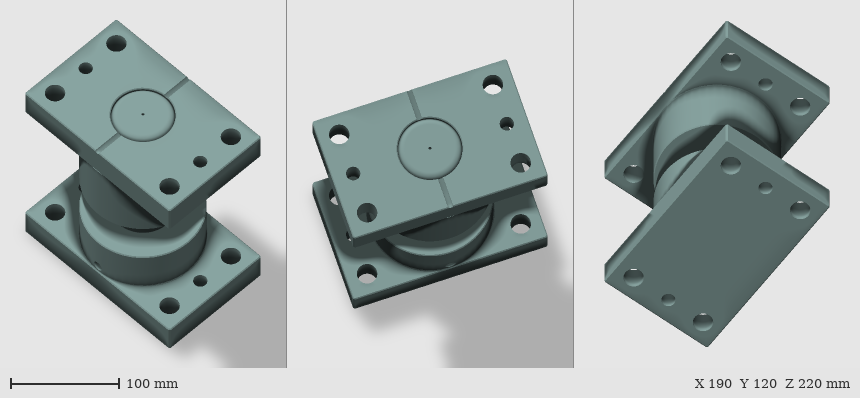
import cadquery as cq

TOTAL_HEIGHT = 220.0
EDGE_BREAK = 1.0
PLATE_LENGTH = 190.0
PLATE_WIDTH = 120.0
PLATE_THICKNESS = 30.0
PLATE_CORNER_CHAMFER = 1.5

PIN_DIAMETER = 60.0
PIN_RADIUS = PIN_DIAMETER / 2
PIN_TOP_FILLET = 6.4
PIN_PROTRUSION = 1.0
PIN_CENTRE_DIAMETER = 2.6
PIN_CENTRE_DEPTH = 4.5

COLLAR_DIAMETER = 118.0
COLLAR_RADIUS = COLLAR_DIAMETER / 2
LOWER_COLLAR_HEIGHT = 45.0
UPPER_COLLAR_HEIGHT = 70.0

SCREW_DIAMETER = 19.0
DOWEL_DIAMETER = 13.2
HOLE_SPACING_X = 150.0
SCREW_SPACING_Y = 80.0

GROOVE_RADIUS = 2.6
GROOVE_DEPTH = 2.0

SIDE_HOLE_DIAMETER = 10.1
SIDE_HOLE_HEIGHT = 7.5

UPPER_PLATE_TOP = TOTAL_HEIGHT - PIN_PROTRUSION
LOWER_COLLAR_TOP = PLATE_THICKNESS + LOWER_COLLAR_HEIGHT
UPPER_PLATE_BOTTOM = UPPER_PLATE_TOP - PLATE_THICKNESS


def plate(bottom):
    """Rectangular plate with chamfered corners and chamfered top and bottom edges."""
    block = cq.Workplane("XY").workplane(offset=bottom).box(
        PLATE_LENGTH, PLATE_WIDTH, PLATE_THICKNESS, centered=(True, True, False)
    )
    block = block.edges("|Z").chamfer(PLATE_CORNER_CHAMFER)
    return block.faces("<Z or >Z").edges().chamfer(EDGE_BREAK)


def collar(height):
    """Collar that stands on Z = 0, with a flared foot and a chamfered free end."""
    foot_radius = COLLAR_RADIUS + EDGE_BREAK
    return (
        cq.Workplane("XZ")
        .lineTo(foot_radius, 0)
        .radiusArc((COLLAR_RADIUS, EDGE_BREAK), EDGE_BREAK)
        .lineTo(COLLAR_RADIUS, height - EDGE_BREAK)
        .lineTo(COLLAR_RADIUS - EDGE_BREAK, height)
        .lineTo(0, height)
        .close()
        .revolve(360, (0, 0, 0), (0, 1, 0))
    )


def mounting_holes(bottom):
    """Cutters for four screw holes and two dowel holes through one plate."""
    level = cq.Workplane("XY").workplane(offset=bottom)
    screws = (
        level.rarray(HOLE_SPACING_X, SCREW_SPACING_Y, 2, 2)
        .circle(SCREW_DIAMETER / 2)
        .extrude(PLATE_THICKNESS)
    )
    dowels = (
        level.rarray(HOLE_SPACING_X, 2.2, 2, 1)
        .circle(DOWEL_DIAMETER / 2)
        .extrude(PLATE_THICKNESS)
    )
    return screws.union(dowels)


def make_guide_pin():
    """Full-height pin with a rounded top edge and a small centre hole."""
    pin = cq.Workplane("XY").circle(PIN_RADIUS).extrude(TOTAL_HEIGHT)
    pin = pin.faces(">Z").edges().fillet(PIN_TOP_FILLET)
    return pin.faces(">Z").workplane().hole(PIN_CENTRE_DIAMETER, PIN_CENTRE_DEPTH)


def pin_bore():
    """Cutter for the bore that the pin fills, through either housing."""
    return cq.Workplane("XY").circle(PIN_RADIUS).extrude(TOTAL_HEIGHT)


def bore_mouth(top):
    """Cutter for the chamfer at the upper mouth of a bore."""
    return (
        cq.Workplane("XY")
        .workplane(offset=top)
        .circle(PIN_RADIUS + EDGE_BREAK)
        .workplane(offset=-EDGE_BREAK)
        .circle(PIN_RADIUS)
        .loft()
    )


def make_lower_housing():
    """Base plate and collar with a side hole that reaches the pin."""
    housing = plate(0).union(collar(LOWER_COLLAR_HEIGHT).translate((0, 0, PLATE_THICKNESS)))
    side_hole = (
        cq.Workplane("XZ")
        .center(0, PLATE_THICKNESS + SIDE_HOLE_HEIGHT)
        .circle(SIDE_HOLE_DIAMETER / 2)
        .extrude(PLATE_WIDTH / 2)
    )
    return housing.cut(mounting_holes(0)).cut(side_hole).cut(pin_bore()).cut(bore_mouth(LOWER_COLLAR_TOP))


def make_upper_housing():
    """Top plate and hanging collar with a chamfered bore and vent grooves."""
    hanging_collar = (
        collar(UPPER_COLLAR_HEIGHT)
        .rotate((0, 0, 0), (1, 0, 0), 180)
        .translate((0, 0, UPPER_PLATE_BOTTOM))
    )
    groove = (
        cq.Workplane("XZ")
        .center(0, UPPER_PLATE_TOP + GROOVE_RADIUS - GROOVE_DEPTH)
        .circle(GROOVE_RADIUS)
        .extrude(PLATE_WIDTH / 2, both=True)
    )
    housing = plate(UPPER_PLATE_BOTTOM).union(hanging_collar)
    housing = housing.cut(mounting_holes(UPPER_PLATE_BOTTOM))
    return housing.cut(pin_bore()).cut(bore_mouth(UPPER_PLATE_TOP)).cut(groove)


lower_housing = make_lower_housing()
guide_pin = make_guide_pin()
upper_housing = make_upper_housing()

result = cq.Compound.makeCompound([lower_housing.val(), guide_pin.val(), upper_housing.val()])